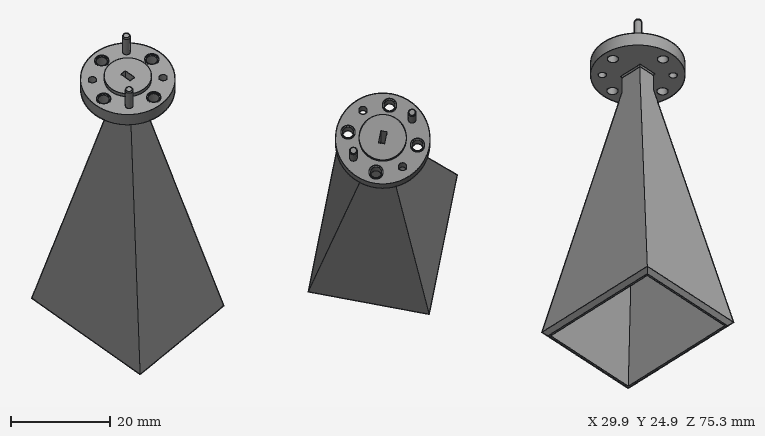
import cadquery as cq
import math

total_height = 75.25

mouth_x = 29.9
mouth_y = 24.9
neck_x = 5.1
neck_y = 3.85
wall = 1.3
neck_bottom_z = 62.9
neck_collar_height = 0.4
neck_collar_flare = 0.2
mouth_bevel_height = 0.9
mouth_bevel_inset = 0.9

flange_diameter = 19.1
flange_thickness = 3.15
flange_top_z = 70.15
flange_bottom_z = flange_top_z - flange_thickness
boss_diameter = 9.55
boss_height = 0.9
boss_top_z = flange_top_z + boss_height

bolt_circle_radius = 7.15
screw_hole_diameter = 2.25
counterbore_diameter = 2.85
counterbore_depth = 0.3
pin_diameter = 1.6
pin_chamfer_height = 0.4
pin_chamfer_inset = 0.15
pin_hole_diameter = 1.65
pin_angles = (135, -45)
pin_hole_angles = (45, -135)
screw_angles = (0, 90, 180, 270)

guide_x = neck_x - 2 * wall
guide_y = neck_y - 2 * wall


def frustum(bottom_z, bottom_size, top_z, top_size):
    """Rectangular frustum centred on the Z axis."""
    return (
        cq.Workplane("XY", origin=(0, 0, bottom_z))
        .rect(*bottom_size)
        .workplane(offset=top_z - bottom_z)
        .rect(*top_size)
        .loft(ruled=True)
    )


def disc(diameter, bottom_z, top_z):
    """Upright cylinder on the Z axis."""
    return cq.Workplane("XY", origin=(0, 0, bottom_z)).circle(diameter / 2).extrude(top_z - bottom_z)


def on_bolt_circle(shape, angle):
    """Move an axial shape out to the given angle on the bolt circle."""
    turn = math.radians(angle)
    return shape.translate((bolt_circle_radius * math.cos(turn), bolt_circle_radius * math.sin(turn), 0))


def make_horn():
    """Outer body: bevelled mouth rim, flared horn and straight neck."""
    mouth = (mouth_x, mouth_y)
    rim = (mouth_x - 2 * mouth_bevel_inset, mouth_y - 2 * mouth_bevel_inset)
    neck = (neck_x, neck_y)
    collar = (neck_x + 2 * neck_collar_flare, neck_y + 2 * neck_collar_flare)
    collar_bottom_z = flange_bottom_z - neck_collar_height
    return (
        frustum(0, rim, mouth_bevel_height, mouth)
        .union(frustum(mouth_bevel_height, mouth, neck_bottom_z, neck))
        .union(frustum(neck_bottom_z, neck, collar_bottom_z, neck))
        .union(frustum(collar_bottom_z, neck, flange_bottom_z, collar))
    )


def make_channel():
    """Waveguide channel that flares with the horn and opens at the mouth."""
    aperture = (mouth_x - 2 * wall, mouth_y - 2 * wall)
    guide = (guide_x, guide_y)
    flare = frustum(0, aperture, neck_bottom_z, guide)
    return flare.union(frustum(neck_bottom_z, guide, boss_top_z, guide))


def make_flange():
    """Drilled disc with a raised centre boss and two alignment pins."""
    flange = disc(flange_diameter, flange_bottom_z, flange_top_z)
    flange = flange.union(disc(boss_diameter, flange_top_z, boss_top_z))

    screw_hole = disc(screw_hole_diameter, flange_bottom_z, flange_top_z)
    screw_hole = screw_hole.union(disc(counterbore_diameter, flange_top_z - counterbore_depth, flange_top_z))
    for angle in screw_angles:
        flange = flange.cut(on_bolt_circle(screw_hole, angle))

    pin_hole = disc(pin_hole_diameter, flange_bottom_z, flange_top_z)
    for angle in pin_hole_angles:
        flange = flange.cut(on_bolt_circle(pin_hole, angle))

    pin = disc(pin_diameter, flange_bottom_z, total_height).faces(">Z").edges()
    pin = pin.chamfer(pin_chamfer_height, pin_chamfer_inset)
    for angle in pin_angles:
        flange = flange.union(on_bolt_circle(pin, angle))
    return flange


result = make_horn().union(make_flange()).cut(make_channel())